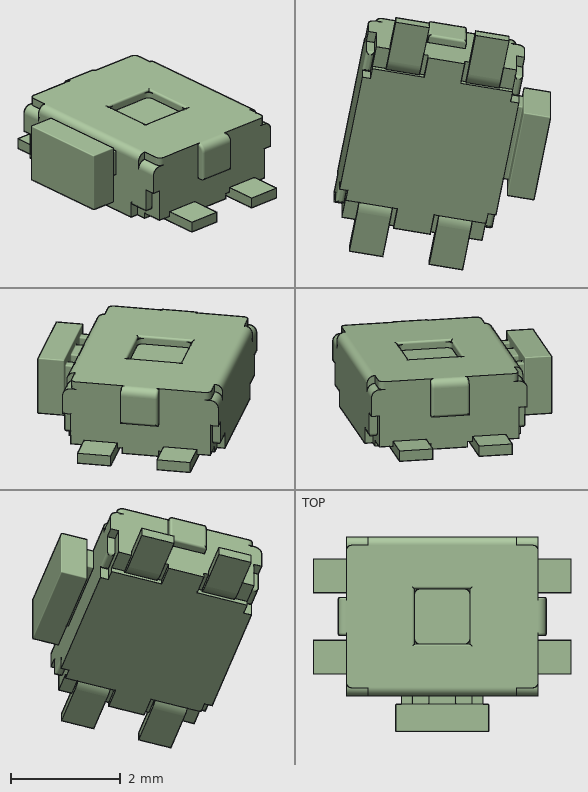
import cadquery as cq
import math

LEAD_SPAN = 4.7
BODY_LENGTH = 3.5
BODY_DEPTH = 2.9
HEIGHT = 1.35
BUTTON_FRONT_Y = -2.1

SHEET = 0.15
BEND_RADIUS = 0.149
PLATE_CORNER_RADIUS = 0.1
SKIRT_HALF_LENGTH = 1.55
SKIRT_BOTTOM_Z = 0.25
SKIRT_EDGE_RADIUS = 0.055

TAB_WIDTH = 0.7
TAB_BOTTOM_Z = 0.65
TAB_EDGE_RADIUS = 0.045

WINDOW_LENGTH = 1.09
WINDOW_DEPTH = 1.083
WINDOW_RIM_RADIUS = 0.04
WINDOW_CORNER_RADIUS = 0.1

CORNER_BLOCK_INNER_X = 1.35
CORNER_BLOCK_BOTTOM_Z = 0.7
LEG_HALF_LENGTH = 1.15
LEG_TOP_Z = 0.93
FOOT_RECESS_HEIGHT = 0.105
FOOT_HALF_WIDTH = 0.34

LEAD_THICKNESS = 0.2
LEAD_WIDTH = 0.62
LEAD_Y = 0.74
LEAD_HEEL_LENGTH = 0.2
LEAD_HEEL_HEIGHT = 0.068

BUTTON_LENGTH = 1.7
BUTTON_THICKNESS = 0.5
BUTTON_BOTTOM_Z = 0.25
BUTTON_EDGE_RADIUS = 0.02

STEM_LENGTH = 1.49
STEM_HEIGHT = 0.485
STEM_EDGE_RADIUS = 0.02
STEM_ROOT_RADIUS = 0.019
STEM_GROOVE_LENGTH = 0.3
STEM_GROOVE_X = 0.395
STEM_GROOVE_DEPTH = 0.15
STEM_TIP_LENGTH = 0.455
STEM_TIP_END_Y = -0.01

HOUSING_TOP_Z = HEIGHT - SHEET
HALF_LENGTH = BODY_LENGTH / 2
HALF_DEPTH = BODY_DEPTH / 2
CORE_HALF_DEPTH = HALF_DEPTH - SHEET
BUTTON_BACK_Y = BUTTON_FRONT_Y + BUTTON_THICKNESS
STEM_BOTTOM_Z = HOUSING_TOP_Z - STEM_HEIGHT
SIDES = (-1, 1)


def box(x_range, y_range, z_range):
    """Axis-aligned box from the two limits along each axis, in either order."""
    lows = [min(r) for r in (x_range, y_range, z_range)]
    sizes = [abs(r[1] - r[0]) for r in (x_range, y_range, z_range)]
    return cq.Workplane("XY").box(*sizes, centered=False).translate(tuple(lows))


def centered(half):
    return (-half, half)


def join(base, other):
    """Union that keeps the seams between separate pieces of the switch."""
    return base.union(other, clean=False)


def outer_face(axis, side):
    """Selector of the outermost face on the given side of an axis."""
    return (">" if side > 0 else "<") + axis


def round_top_edge(piece, axis, side):
    """Give the top outer edge of a piece the bend radius of the cover."""
    return piece.faces(outer_face(axis, side)).edges(">Z").fillet(BEND_RADIUS)


def make_corner_block(sx, sy):
    """Housing block beside the bend at one corner, rounded along its top outer edge."""
    block = box(
        (sx * CORNER_BLOCK_INNER_X, sx * HALF_LENGTH),
        (sy * CORE_HALF_DEPTH, sy * HALF_DEPTH),
        (CORNER_BLOCK_BOTTOM_Z, HOUSING_TOP_Z),
    )
    return round_top_edge(block, "Y", sy)


def make_leg(sy):
    """Flat housing leg in the cut-out of the cover skirt."""
    return box(centered(LEG_HALF_LENGTH), (sy * CORE_HALF_DEPTH, sy * HALF_DEPTH), (0, LEG_TOP_Z))


def make_housing():
    """Housing block, standing on a central foot with recessed corners,
    corner blocks and side legs.
    """
    housing = box(centered(HALF_LENGTH), centered(CORE_HALF_DEPTH), (0, HOUSING_TOP_Z))
    for sx in SIDES:
        for sy in SIDES:
            recess = box(
                (sx * CORNER_BLOCK_INNER_X, sx * HALF_LENGTH),
                (sy * FOOT_HALF_WIDTH, sy * CORE_HALF_DEPTH),
                (0, FOOT_RECESS_HEIGHT),
            )
            housing = housing.cut(recess).union(make_corner_block(sx, sy))
    for sy in SIDES:
        housing = housing.union(make_leg(sy))
    return housing


def make_plate():
    """Flat top of the cover with its window: rounded rim, mitred corners, rounded upright corners."""
    plate = box(centered(HALF_LENGTH), centered(CORE_HALF_DEPTH), (HOUSING_TOP_Z, HEIGHT))
    plate = plate.edges("|Z").fillet(PLATE_CORNER_RADIUS)
    half_x = WINDOW_LENGTH / 2 - WINDOW_RIM_RADIUS
    half_y = WINDOW_DEPTH / 2 - WINDOW_RIM_RADIUS
    plate = plate.cut(box(centered(half_x), centered(half_y), (HOUSING_TOP_Z, HEIGHT)))
    rim = cq.selectors.BoxSelector(
        (-WINDOW_LENGTH / 2, -WINDOW_DEPTH / 2, HEIGHT - WINDOW_RIM_RADIUS),
        (WINDOW_LENGTH / 2, WINDOW_DEPTH / 2, HEIGHT + WINDOW_RIM_RADIUS),
    )
    plate = plate.edges(rim).fillet(WINDOW_RIM_RADIUS)
    corner_fill = box(centered(half_x), centered(half_y), (HOUSING_TOP_Z, HEIGHT - WINDOW_RIM_RADIUS))
    opening = corner_fill.edges("|Z").fillet(WINDOW_CORNER_RADIUS)
    return plate.union(corner_fill.cut(opening))


def make_skirt(sy):
    """Bent-down long side of the cover: a rounded bend, with a lower panel on each side of the leg."""
    y_range = (sy * CORE_HALF_DEPTH, sy * HALF_DEPTH)
    skirt = box(centered(CORNER_BLOCK_INNER_X), y_range, (CORNER_BLOCK_BOTTOM_Z, HEIGHT))
    skirt = round_top_edge(skirt, "Y", sy)
    skirt = skirt.cut(make_leg(sy))
    for sx in SIDES:
        panel = box(
            (sx * LEG_HALF_LENGTH, sx * SKIRT_HALF_LENGTH),
            y_range,
            (SKIRT_BOTTOM_Z, CORNER_BLOCK_BOTTOM_Z),
        )
        skirt = skirt.union(panel.faces("<Z").edges().fillet(SKIRT_EDGE_RADIUS))
    return skirt


def make_tab(sx):
    """Short tab bent down over one end of the housing."""
    tab = box(
        (sx * HALF_LENGTH, sx * (HALF_LENGTH + SHEET)),
        centered(TAB_WIDTH / 2),
        (TAB_BOTTOM_Z, HEIGHT),
    )
    tab = round_top_edge(tab, "X", sx)
    return tab.faces(outer_face("X", sx)).edges().fillet(TAB_EDGE_RADIUS)


def make_lead(sx, sy):
    """Flat lead whose underside curves upward where it enters the housing."""
    heel_radius = (LEAD_HEEL_LENGTH**2 + LEAD_HEEL_HEIGHT**2) / (2 * LEAD_HEEL_HEIGHT)
    half_angle = math.asin(LEAD_HEEL_LENGTH / heel_radius) / 2
    inner_x = CORNER_BLOCK_INNER_X
    flat_x = inner_x + LEAD_HEEL_LENGTH
    arc_middle = (
        flat_x - heel_radius * math.sin(half_angle),
        heel_radius * (1 - math.cos(half_angle)),
    )
    lead = (
        cq.Workplane("XZ")
        .moveTo(inner_x, LEAD_THICKNESS)
        .lineTo(inner_x, LEAD_HEEL_HEIGHT)
        .threePointArc(arc_middle, (flat_x, 0))
        .lineTo(LEAD_SPAN / 2, 0)
        .lineTo(LEAD_SPAN / 2, LEAD_THICKNESS)
        .close()
        .extrude(LEAD_WIDTH / 2, both=True)
    )
    if sx < 0:
        lead = lead.mirror("YZ")
    return lead.translate((0, sy * LEAD_Y, 0))


def make_button():
    """Push button with softened edges, on a stem with two grooves in its top."""
    button = box(
        centered(BUTTON_LENGTH / 2), (BUTTON_FRONT_Y, BUTTON_BACK_Y), (BUTTON_BOTTOM_Z, HEIGHT)
    ).edges().fillet(BUTTON_EDGE_RADIUS)
    stem = box(
        centered(STEM_LENGTH / 2), (BUTTON_BACK_Y, -CORE_HALF_DEPTH), (STEM_BOTTOM_Z, HOUSING_TOP_Z)
    )
    for sx in SIDES:
        groove = box(
            centered(STEM_GROOVE_LENGTH / 2),
            (BUTTON_BACK_Y, -CORE_HALF_DEPTH),
            (HOUSING_TOP_Z - STEM_GROOVE_DEPTH, HOUSING_TOP_Z),
        )
        stem = stem.cut(groove.translate((sx * STEM_GROOVE_X, 0, 0)))
    stem = stem.edges("|Y").fillet(STEM_EDGE_RADIUS)
    root = cq.selectors.BoxSelector(
        (-STEM_LENGTH, BUTTON_BACK_Y - BUTTON_EDGE_RADIUS / 2, STEM_BOTTOM_Z - BUTTON_EDGE_RADIUS),
        (STEM_LENGTH, BUTTON_BACK_Y + BUTTON_EDGE_RADIUS / 2, HOUSING_TOP_Z + BUTTON_EDGE_RADIUS),
        boundingbox=True,
    )
    return button.union(stem).edges(root).fillet(STEM_ROOT_RADIUS)


def make_stem_tip():
    """Inner end of the stem, flush with the window floor."""
    return box(
        centered(STEM_TIP_LENGTH / 2), (-CORE_HALF_DEPTH, STEM_TIP_END_Y), (STEM_BOTTOM_Z, HOUSING_TOP_Z)
    )


result = join(make_housing(), make_plate())
for side in SIDES:
    result = join(result, make_skirt(side))
    result = join(result, make_tab(side))
    for lead_side in SIDES:
        result = join(result, make_lead(side, lead_side))
result = join(result, make_stem_tip())
result = join(result, make_button())